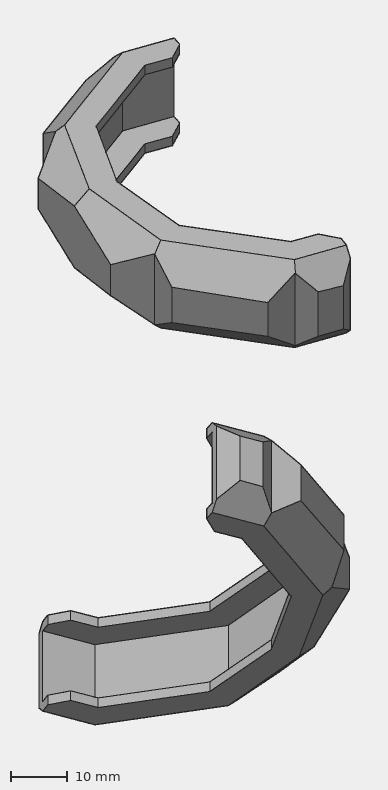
import cadquery as cq
import math

HEIGHT = 19.0
HALF_HEIGHT = HEIGHT / 2
FACET_ANGLE = 45
FACET_RUN = HALF_HEIGHT * math.tan(math.radians(FACET_ANGLE))
LIP_THICKNESS = 2.0
GROOVE_HALF_HEIGHT = HALF_HEIGHT - LIP_THICKNESS
REACH = 156.6

OUTER_POINTS = [
    (33.1, 6.3),
    (36.9, 5.2),
    (39.15, 1.6),
    (37.8, -3.1),
    (34.05, -5.3),
    (33.3, -11.0),
    (18.9, -20.9),
    (13.2, -20.1),
    (6.1, -24.2),
    (-22.3, -16.7),
    (-26.15, -9.3),
    (-31.7, -7.4),
    (-39.0, 8.7),
    (-37.1, 13.85),
    (-39.15, 17.6),
    (-38.05, 21.9),
    (-34.3, 24.2),
]

INNER_POINTS = [
    (-30.45, 23.25),
    (-28.2, 19.6),
    (-29.6, 14.4),
    (-21.1, -4.2),
    (-5.9, -12.45),
    (11.4, -12.85),
    (28.0, -1.1),
    (29.45, 4.1),
]

RIDGE_POINTS = [
    (-32.6, 23.8),
    (-35.15, 14.0),
    (-25.0, -8.2),
    (-7.35, -17.6),
    (12.8, -18.25),
    (32.65, -4.2),
    (35.2, 5.6),
]


def space_inside_ridge(profile):
    """Common space of one profile swept straight along every ridge segment.

    In the profile, the first coordinate points outward from the ridge line.
    """
    space = None
    for start, end in zip(RIDGE_POINTS, RIDGE_POINTS[1:]):
        along = cq.Vector(end[0] - start[0], end[1] - start[1], 0)
        outward = along.cross(cq.Vector(0, 0, 1))
        plane = cq.Plane(origin=(start[0], start[1], 0), xDir=outward, normal=along)
        bar = cq.Workplane(plane).polyline(profile).close().extrude(REACH, both=True)
        space = bar if space is None else space.intersect(bar)
    return space


def make_band():
    """Upright band with the full plan outline."""
    outline = OUTER_POINTS + INNER_POINTS
    return cq.Workplane("XY").polyline(outline).close().extrude(HALF_HEIGHT, both=True)


def make_facet_envelope():
    """Space bounded by the upper and lower sloping facets of each segment."""
    return space_inside_ridge([
        (-REACH, -HALF_HEIGHT),
        (0, -HALF_HEIGHT),
        (FACET_RUN, 0),
        (0, HALF_HEIGHT),
        (-REACH, HALF_HEIGHT),
    ])


def make_groove():
    """Space between the lips, reaching out to the ridge and open at both tips."""
    return space_inside_ridge([
        (-REACH, -GROOVE_HALF_HEIGHT),
        (0, -GROOVE_HALF_HEIGHT),
        (0, GROOVE_HALF_HEIGHT),
        (-REACH, GROOVE_HALF_HEIGHT),
    ])


result = make_band().intersect(make_facet_envelope()).cut(make_groove())